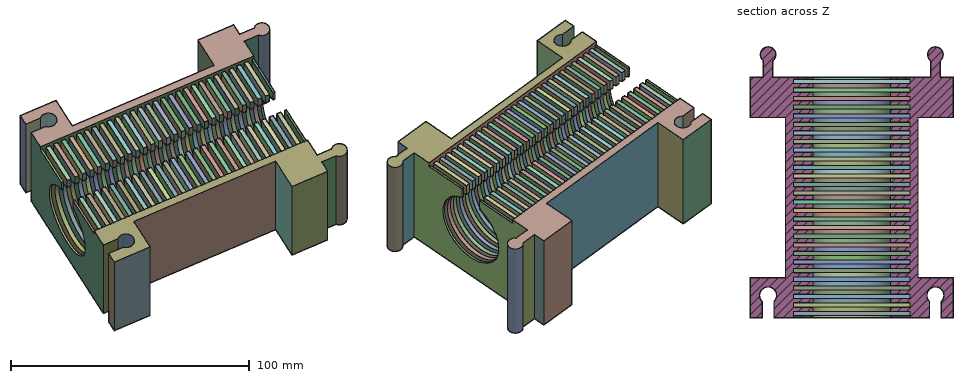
import cadquery as cq

width = 85.0
height = 49.5
overall_length = 113.5
body_length = 100.7
waist_inset = 14.7
pad_length = 16.9

connector_inset = 7.5
connector_x = width / 2 - connector_inset
ball_radius = 3.3
neck_width = 4.1
socket_radius = 3.5
socket_slot_width = 4.9
ball_offset = overall_length - body_length - ball_radius

bore_radius = 16.2
bore_height = 26.9
throat_width = 10.2

wall_thickness = 3.4
recess_width = width - 2 * (waist_inset + wall_thickness)
recess_depth = 2.0
groove_count = 28
groove_width = 1.7
groove_floor = wall_thickness
groove_pitch = body_length / groove_count


def block(size_x, y_start, size_y, z_start, z_end, x_center=0):
    """Box centred on x_center, reaching from y_start and between two heights."""
    return (
        cq.Workplane("XY")
        .box(size_x, size_y, z_end - z_start, centered=(True, False, False))
        .translate((x_center, y_start, z_start))
    )


def post(radius, x, y):
    """Full-height vertical cylinder."""
    return cq.Workplane("XY").center(x, y).circle(radius).extrude(height)


def body():
    waist = block(width - 2 * waist_inset, 0, body_length, 0, height)
    front_pads = block(width, 0, pad_length, 0, height)
    back_pads = block(width, body_length - pad_length, pad_length, 0, height)
    return waist.union(front_pads).union(back_pads)


def ball_peg(x):
    neck = block(neck_width, body_length, ball_offset, 0, height, x)
    return neck.union(post(ball_radius, x, body_length + ball_offset))


def keyhole_socket(x):
    slot = block(socket_slot_width, 0, ball_offset, 0, height, x)
    return slot.union(post(socket_radius, x, ball_offset))


def bore_and_throat():
    bore = (
        cq.Workplane("XZ")
        .center(0, bore_height)
        .circle(bore_radius)
        .extrude(-body_length)
    )
    throat = block(throat_width, 0, body_length, bore_height, height)
    return bore.union(throat)


result = body()
for x_position in (-connector_x, connector_x):
    result = result.union(ball_peg(x_position))
    result = result.cut(keyhole_socket(x_position))

result = result.cut(block(recess_width, 0, body_length, height - recess_depth, height))
result = result.cut(bore_and_throat())

for index in range(groove_count):
    groove_start = (index + 0.5) * groove_pitch - groove_width / 2
    result = result.cut(block(recess_width, groove_start, groove_width, groove_floor, height))